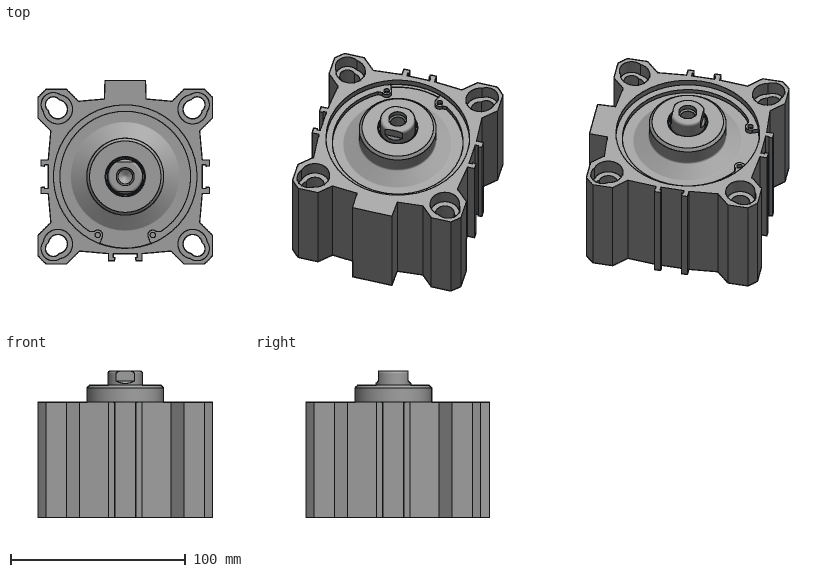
import cadquery as cq
import math


HEIGHT = 66.2
EAR_HALF = 50.0
EAR_TIP_RADIUS = 67.4
EAR_INNER = 33.6
WALL_START = 26.2
PORT_WALL_START = 26.8
WALL_SLOPE = 5.0

RAIL_TIP = 48.2
RAIL_FLOOR = 44.1
RAIL_OUTER = 9.7
SLOT_HALF = 6.7
SLOT_MOUTH_HALF = 6.1
SLOT_THROAT_HALF = 5.9
LIP_THICKNESS = 2.1

PORT_TOP = 55.0
PORT_BASE_HALF = 12.0
PORT_TOP_HALF = 11.7

BOLT_OFFSET = 38.5
LOBE_OFFSET = 41.2
BOLT_HOLE = 10.8
LOBE_HOLE = 8.8
BOLT_COUNTERBORE = 16.8
LOBE_COUNTERBORE = 13.9
COUNTERBORE_DEPTH = 9.0

BORE = 82.1
GROOVE = 85.6

RING_INNER = 74.8
RING_THICKNESS = 2.7
RING_DEPTH = 3.9
RING_EAR_X = 15.8
RING_EAR_Y = 33.4
RING_EAR_RADIUS = 2.8
RING_EAR_HOLE = 3.0
RING_EAR_SHOULDER = 2.0
RING_SHOULDER_X = 20.7

COVER_DIAMETER = 81.7
COVER_THICKNESS = 12.6
CONE_FOOT = 62.0
CONE_RISE = 5.0
COVER_FILLET = 0.9
COLLAR = 44.0
COLLAR_TOP = 75.8
COLLAR_CHAMFER = 1.6
ROD_RECESS = 21.9
ROD_RECESS_RIM = 23.0
ROD_RECESS_DEPTH = 2.1
ROD_LIP = 20.6

ROD = 20.0
ROD_TOP = 84.0
ROD_FILLET = 1.7
FLAT_WIDTH = 17.0
FLAT_LENGTH = 5.8
ROD_COUNTERBORE = 10.3
ROD_COUNTERBORE_DEPTH = 2.9
ROD_HOLE = 8.4
ROD_HOLE_DEPTH = 20.0
DRILL_ANGLE = 118.0

RING_TOP_Z = HEIGHT - RING_DEPTH
COVER_TOP_Z = RING_TOP_Z - RING_THICKNESS
COVER_BOTTOM_Z = COVER_TOP_Z - COVER_THICKNESS


def cylinder(diameter, bottom, top):
    return cq.Workplane("XY").workplane(offset=bottom).circle(diameter / 2).extrude(top - bottom)


def revolved(profile):
    """Revolve a closed list of (radius, z) points about the Z axis."""
    return cq.Workplane("XZ").polyline(profile).close().revolve(360, (0, 0), (0, 1))


def wall_distance(start, along):
    """Distance of a sloped side wall from the axis, at a place along that side."""
    flank_foot = EAR_HALF - (EAR_INNER - start)
    return flank_foot + (start - along) * math.tan(math.radians(WALL_SLOPE))


def side_outline(start, half_feature):
    """Outline of one side, as (along, outward) points: ear, wall, middle feature, wall, ear."""
    tip_start = math.sqrt(EAR_TIP_RADIUS ** 2 - EAR_HALF ** 2)
    left_half = [
        (-tip_start, EAR_HALF),
        (-EAR_INNER, EAR_HALF),
        (-start, wall_distance(start, start)),
    ] + half_feature
    right_half = [(-along, out) for along, out in reversed(left_half)]
    return left_half + right_half


def turned(points, quarter_turns):
    """Rotate points about the axis by a number of clockwise quarter turns."""
    for _ in range(quarter_turns):
        points = [(y, -x) for x, y in points]
    return points


def housing_sides():
    """Outline points of the four sides, clockwise from the side with the port block."""
    rail = [
        (-RAIL_OUTER, wall_distance(WALL_START, RAIL_OUTER)),
        (-RAIL_OUTER, RAIL_TIP),
        (-SLOT_MOUTH_HALF, RAIL_TIP),
        (-SLOT_THROAT_HALF, RAIL_TIP - LIP_THICKNESS),
        (-SLOT_HALF, RAIL_TIP - LIP_THICKNESS),
        (-SLOT_HALF, RAIL_FLOOR),
    ]
    port = [
        (-PORT_BASE_HALF, wall_distance(PORT_WALL_START, PORT_BASE_HALF)),
        (-PORT_TOP_HALF, PORT_TOP),
    ]
    sides = [side_outline(PORT_WALL_START, port)]
    for quarter in (1, 2, 3):
        sides.append(turned(side_outline(WALL_START, rail), quarter))
    return sides


def housing_profile():
    """Closed outline: the four sides, joined by an arc around the tip of each ear."""
    tip = EAR_TIP_RADIUS / math.sqrt(2)
    sides = housing_sides()
    profile = cq.Workplane("XY").moveTo(*sides[0][0])
    for index, side in enumerate(sides):
        next_side = sides[(index + 1) % len(sides)]
        arc_middle = turned([(tip, tip)], index)[0]
        for point in side[1:]:
            profile = profile.lineTo(*point)
        profile = profile.threePointArc(arc_middle, next_side[0])
    return profile.close()


def bolt_hole(x_sign, y_sign):
    """Two-lobed through hole with a two-lobed counterbore."""
    counterbore_floor = HEIGHT - COUNTERBORE_DEPTH
    lobes = (
        (BOLT_OFFSET, BOLT_HOLE, BOLT_COUNTERBORE),
        (LOBE_OFFSET, LOBE_HOLE, LOBE_COUNTERBORE),
    )
    cutter = cq.Workplane("XY")
    for offset, hole, counterbore in lobes:
        lobe = cylinder(hole, 0, HEIGHT).union(cylinder(counterbore, counterbore_floor, HEIGHT))
        cutter = cutter.union(lobe.translate((x_sign * offset, y_sign * offset, 0)))
    return cutter


def make_housing():
    body = housing_profile().extrude(HEIGHT)
    body = body.cut(cylinder(BORE, COVER_BOTTOM_Z, HEIGHT))
    body = body.cut(cylinder(GROOVE, COVER_TOP_Z, RING_TOP_Z))
    for x_sign in (-1, 1):
        for y_sign in (-1, 1):
            body = body.cut(bolt_hole(x_sign, y_sign))
    return body


def make_retaining_ring():
    base = cq.Workplane("XY").workplane(offset=COVER_TOP_Z)
    ring = base.circle(GROOVE / 2).circle(RING_INNER / 2).extrude(RING_THICKNESS)

    ear_angle = math.atan2(RING_EAR_X, RING_EAR_Y)
    gap_half_angle = ear_angle - math.asin(RING_EAR_RADIUS / math.hypot(RING_EAR_X, RING_EAR_Y))
    gap_half_width = GROOVE * math.tan(gap_half_angle)
    gap = base.polyline([(0, 0), (gap_half_width, -GROOVE), (-gap_half_width, -GROOVE)])
    ring = ring.cut(gap.close().extrude(RING_THICKNESS))

    shoulder_y = -RING_EAR_Y + RING_EAR_SHOULDER
    for side in (-1, 1):
        ear_x = side * RING_EAR_X
        shoulder_x = side * RING_SHOULDER_X
        shoulder = base.polyline([
            (ear_x, -RING_EAR_Y),
            (ear_x, shoulder_y),
            (shoulder_x, shoulder_y),
            (shoulder_x, -RING_EAR_Y),
        ])
        ring = ring.union(shoulder.close().extrude(RING_THICKNESS))
        ear = base.center(ear_x, -RING_EAR_Y)
        ring = ring.union(ear.circle(RING_EAR_RADIUS).extrude(RING_THICKNESS))
        ring = ring.cut(ear.circle(RING_EAR_HOLE / 2).extrude(RING_THICKNESS))
    return ring


def make_head_cover():
    cone_top_z = COVER_TOP_Z + CONE_RISE
    cover = revolved([
        (0, COVER_BOTTOM_Z),
        (COVER_DIAMETER / 2, COVER_BOTTOM_Z),
        (COVER_DIAMETER / 2, COVER_TOP_Z),
        (CONE_FOOT / 2, COVER_TOP_Z),
        (COLLAR / 2, cone_top_z),
        (COLLAR / 2, COLLAR_TOP - COLLAR_CHAMFER),
        (COLLAR / 2 - COLLAR_CHAMFER, COLLAR_TOP),
        (0, COLLAR_TOP),
    ])
    cone_edges = cover.faces("%CONE").faces("<Z").edges()
    cover = cone_edges.fillet(COVER_FILLET)

    rim_chamfer = (ROD_RECESS_RIM - ROD_RECESS) / 2
    lip_chamfer = (ROD_LIP - ROD) / 2
    recess_floor = COLLAR_TOP - ROD_RECESS_DEPTH
    return cover.cut(revolved([
        (0, COVER_BOTTOM_Z),
        (ROD / 2, COVER_BOTTOM_Z),
        (ROD / 2, recess_floor - lip_chamfer),
        (ROD_LIP / 2, recess_floor),
        (ROD_RECESS / 2, recess_floor),
        (ROD_RECESS / 2, COLLAR_TOP - rim_chamfer),
        (ROD_RECESS_RIM / 2, COLLAR_TOP),
        (0, COLLAR_TOP),
    ]))


def rod_hole():
    """Counterbore, conical shoulder, drilled hole and drill point."""
    shoulder = (ROD_COUNTERBORE - ROD_HOLE) / 2
    counterbore_z = ROD_TOP - ROD_COUNTERBORE_DEPTH
    hole_z = ROD_TOP - ROD_HOLE_DEPTH
    point_length = ROD_HOLE / 2 / math.tan(math.radians(DRILL_ANGLE / 2))
    return revolved([
        (0, hole_z - point_length),
        (ROD_HOLE / 2, hole_z),
        (ROD_HOLE / 2, counterbore_z - shoulder),
        (ROD_COUNTERBORE / 2, counterbore_z),
        (ROD_COUNTERBORE / 2, ROD_TOP),
        (0, ROD_TOP),
    ])


def wrench_flat(side):
    """Cutter for one flat, which runs out through the rod surface at 45 degrees."""
    flat_y = FLAT_WIDTH / 2
    run_out = ROD / 2 - flat_y
    flat_z = ROD_TOP - FLAT_LENGTH
    profile = cq.Workplane("YZ").polyline([
        (side * flat_y, ROD_TOP),
        (side * flat_y, flat_z),
        (side * (flat_y + run_out), flat_z - run_out),
        (side * (flat_y + run_out), ROD_TOP),
    ])
    return profile.close().extrude(ROD / 2, both=True)


def make_piston_rod():
    rod = cylinder(ROD, COVER_BOTTOM_Z, ROD_TOP)
    rod = rod.faces(">Z").edges().fillet(ROD_FILLET)
    rod = rod.cut(rod_hole())
    for side in (-1, 1):
        rod = rod.cut(wrench_flat(side))
    return rod


housing = make_housing()
retaining_ring = make_retaining_ring()
head_cover = make_head_cover()
piston_rod = make_piston_rod()

result = cq.Compound.makeCompound([
    housing.val(),
    retaining_ring.val(),
    head_cover.val(),
    piston_rod.val(),
])